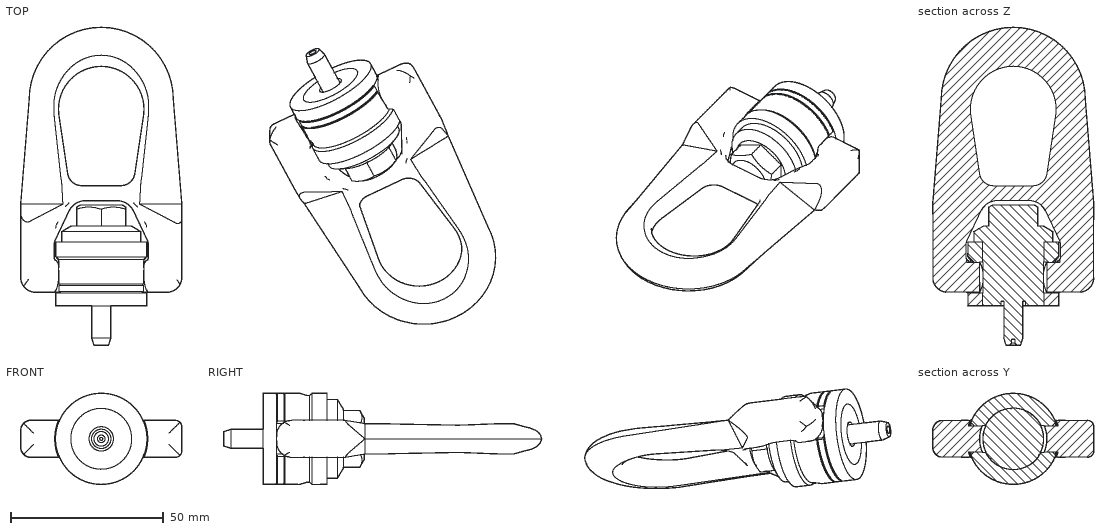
import cadquery as cq
import math


tip_y = -13.0
tip_chamfer_start_y = -10.6
pin_diameter = 6.35
tip_diameter = 4.8
centre_hole_diameter = 1.0
centre_hole_depth = 2.0
countersink_diameter = 2.5
relief_diameter = 8.0
relief_depth = 1.5
shank_diameter = 20.0
collar_diameter = 26.0
collar_cone_y = 24.4
collar_top_y = 26.3
collar_top_diameter = 19.6
hex_across_flats = 16.2
hex_top_y = 33.2
hex_top_diameter = 13.6
hex_chamfer_angle = math.radians(30)

body_diameter = 30.0
flange_thickness = 4.3
housing_top_y = 21.0
seam_width = 0.35
seam_depth = 0.4
upper_seam_y = 6.75
v_groove_start_y = 12.0
v_groove_root_y = 14.3
v_groove_root_end_y = 15.2
v_groove_end_y = 16.1
v_groove_depth = 0.7

trunnion_diameter = 10.0
trunnion_y = 9.4
trunnion_bore_diameter = 22.0
mouth_start_x = 13.0
mouth_angle = 45.0

block_half_width = 26.5
block_half_thickness = 6.1
plate_allowance = 0.05
plate_blend_radius = 12.0
hole_half_depth = block_half_thickness + 1.0
block_corner_radius = 5.0
block_side_radius = 2.2
block_bottom_y = trunnion_y - block_corner_radius
block_slope_y = 26.7
block_top_y = 33.4
body_clearance = 0.3
facet_inner_x = 12.6
facet_low_y = 28.9
facet_low_z = 3.85

link_top_y = 91.5
bow_outer_radius = 23.7
bow_half_thickness = 5.0
bow_slope_width = 9.2
bow_nose_depth = 1.3
bow_nose_half_thickness = 2.3
bow_flank_depth = 3.6
bow_flank_half_thickness = 3.5
bow_centre_y = link_top_y - bow_outer_radius

opening_radius = 14.0
opening_top_y = 78.6
opening_bottom_y = 39.5
opening_bottom_half_width = 10.4
opening_corner_radius = 4.6
opening_edge_radius = 3.4

window_half_width = 15.4
window_bottom_y = 14.75
window_shoulder_y = 20.9
window_top_y = 34.5
window_top_half_width = 8.96
window_bottom_radius = 1.1
window_shoulder_radius = 3.5
window_top_radius = 6.0
window_edge_radius = 2.1


def turned(points):
    """Solid of revolution about Y from an (radius, y) outline."""
    return cq.Workplane("XY").polyline(points).close().revolve(360, (0, 0, 0), (0, 1, 0))


def rod(diameter, start_y, end_y):
    """Cylinder along Y."""
    radius = diameter / 2
    return turned([(0, start_y), (radius, start_y), (radius, end_y), (0, end_y)])


def make_hex_head():
    corner_radius = hex_across_flats / math.sqrt(3)
    hexagon = [
        (corner_radius * math.sin(i * math.pi / 3), corner_radius * math.cos(i * math.pi / 3))
        for i in range(6)
    ]
    head = (
        cq.Workplane("XZ", origin=(0, collar_cone_y, 0))
        .polyline(hexagon)
        .close()
        .extrude(collar_cone_y - hex_top_y)
    )
    top_radius = hex_top_diameter / 2
    chamfer_drop = (corner_radius - top_radius) * math.tan(hex_chamfer_angle)
    chamfer_envelope = turned([
        (0, collar_cone_y),
        (corner_radius, collar_cone_y),
        (corner_radius, hex_top_y - chamfer_drop),
        (top_radius, hex_top_y),
        (0, hex_top_y),
    ])
    return head.intersect(chamfer_envelope)


def make_bolt():
    pin_radius = pin_diameter / 2
    shank_radius = shank_diameter / 2
    collar_radius = collar_diameter / 2
    countersink_radius = countersink_diameter / 2
    centre_hole_radius = centre_hole_diameter / 2
    body = turned([
        (0, tip_y + centre_hole_depth),
        (centre_hole_radius, tip_y + centre_hole_depth),
        (centre_hole_radius, tip_y + countersink_radius - centre_hole_radius),
        (countersink_radius, tip_y),
        (tip_diameter / 2, tip_y),
        (pin_radius, tip_chamfer_start_y),
        (pin_radius, relief_depth),
        (relief_diameter / 2, relief_depth),
        (relief_diameter / 2, 0),
        (shank_radius, 0),
        (shank_radius, housing_top_y),
        (collar_radius, housing_top_y),
        (collar_radius, collar_cone_y),
        (collar_top_diameter / 2, collar_top_y),
        (0, collar_top_y),
    ])
    return body.union(make_hex_head())


def make_flange():
    blank = rod(body_diameter, 0, flange_thickness)
    return blank.cut(rod(shank_diameter, 0, flange_thickness))


def make_trunnion_slot():
    """U-slot along X, open towards the flange, with chamfered mouths at both ends."""
    def u_outline(start_x):
        radius = trunnion_diameter / 2
        return (
            cq.Workplane("YZ", origin=(start_x, 0, 0))
            .moveTo(0, -radius)
            .lineTo(trunnion_y, -radius)
            .threePointArc((trunnion_y + radius, 0), (trunnion_y, radius))
            .lineTo(0, radius)
            .close()
        )

    body_radius = body_diameter / 2
    slot = u_outline(-body_radius).extrude(body_diameter)
    mouth = u_outline(mouth_start_x).extrude(body_radius - mouth_start_x, taper=-mouth_angle)
    return slot.union(mouth).union(mouth.mirror("YZ"))


def make_housing():
    radius = body_diameter / 2
    seam_radius = radius - seam_depth
    root_radius = radius - v_groove_depth
    blank = turned([
        (0, flange_thickness),
        (seam_radius, flange_thickness),
        (seam_radius, flange_thickness + seam_width),
        (radius, flange_thickness + seam_width),
        (radius, upper_seam_y),
        (seam_radius, upper_seam_y),
        (seam_radius, upper_seam_y + seam_width),
        (radius, upper_seam_y + seam_width),
        (radius, v_groove_start_y),
        (root_radius, v_groove_root_y),
        (root_radius, v_groove_root_end_y),
        (radius, v_groove_end_y),
        (radius, housing_top_y),
        (0, housing_top_y),
    ])
    bore = rod(shank_diameter, flange_thickness, housing_top_y)
    return blank.cut(bore).cut(make_trunnion_slot())


def bow_section(y, rim):
    """Half of the bow's cross-section in the plane at y; rim runs from the crest to the edge at z = 0."""
    lower_rim = [(x, -z) for x, z in reversed(rim)]
    return (
        cq.Workplane("XZ", origin=(0, y, 0))
        .moveTo(0, bow_half_thickness)
        .lineTo(*rim[0])
        .spline(rim[1:], includeCurrent=True)
        .spline(lower_rim[1:], includeCurrent=True)
        .lineTo(0, -bow_half_thickness)
        .close()
    )


def make_bow():
    """Bow without its opening: a revolved half disc on top of two arms lofted down to the block."""
    round_rim = [
        (bow_outer_radius - bow_slope_width, bow_half_thickness),
        (bow_outer_radius - bow_flank_depth, bow_flank_half_thickness),
        (bow_outer_radius - bow_nose_depth, bow_nose_half_thickness),
        (bow_outer_radius, 0),
    ]
    spans = len(round_rim) - 1
    facet_width = block_half_width - facet_inner_x
    straight_rim = [
        (facet_inner_x + step / spans * facet_width, bow_half_thickness * (1 - step / spans))
        for step in range(spans + 1)
    ]
    half_disc = bow_section(bow_centre_y, round_rim).revolve(180, (0, 0, 0), (0, 1, 0))
    lower_wire = bow_section(block_top_y, straight_rim).val()
    upper_wire = bow_section(bow_centre_y, round_rim).val()
    arm = cq.Workplane(cq.Solid.makeLoft([lower_wire, upper_wire], True))
    return half_disc.union(arm).union(arm.mirror("YZ"))


def make_block():
    """Common part of the block's outlines seen along Z, X and Y."""
    height = block_top_y - block_bottom_y
    plan = (
        cq.Workplane("XY")
        .center(0, block_bottom_y + height / 2)
        .rect(2 * block_half_width, height)
        .extrude(block_half_thickness, both=True)
        .edges("|Z and <Y")
        .fillet(block_corner_radius)
    )
    half_side = [
        (block_bottom_y, block_half_thickness),
        (block_slope_y, block_half_thickness),
        (block_top_y, bow_half_thickness),
    ]
    side = (
        extruded_along_x(half_side)
        .edges("|X and <Y")
        .fillet(block_corner_radius)
    )
    end = (
        cq.Workplane("XZ")
        .rect(2 * block_half_width, 2 * block_half_thickness)
        .extrude(-block_top_y)
        .edges("|Y")
        .fillet(block_side_radius)
    )
    return plan.intersect(side).intersect(end)


def extruded_along_x(upper_half):
    """Bar as wide as the block from the upper half of a (y, z) outline mirrored about z = 0."""
    lower_half = [(y, -z) for y, z in reversed(upper_half)]
    return (
        cq.Workplane("YZ", origin=(-block_half_width, 0, 0))
        .polyline(upper_half + lower_half)
        .close()
        .extrude(2 * block_half_width)
    )


def make_corner_facets():
    """Wedges above the planes that slope from each arm's ridge down to the side of the block."""
    ridge = cq.Vector(facet_inner_x, block_top_y, bow_half_thickness)
    edge = cq.Vector(block_half_width, block_top_y, 0)
    low = cq.Vector(block_half_width, facet_low_y, facet_low_z)
    normal = (ridge - edge).cross(low - edge)
    facet = (
        cq.Workplane(cq.Plane(edge, low - edge, normal))
        .rect(link_top_y, link_top_y)
        .extrude(block_half_width)
    )
    right_pair = facet.union(facet.mirror("XY"))
    return right_pair.union(right_pair.mirror("YZ"))


def band_selector(start_y, end_y):
    """Picks what lies between two Y positions, across the whole link."""
    margin = 0.1
    return cq.selectors.BoxSelector(
        (-block_half_width, start_y - margin, -hole_half_depth),
        (block_half_width, end_y + margin, hole_half_depth),
    )


def make_opening():
    """Pear-shaped opening of the bow: an arc with two tangent-like sides and a flat bottom."""
    centre_y = opening_top_y - opening_radius
    slope = math.atan2(opening_radius - opening_bottom_half_width, centre_y - opening_bottom_y)
    side_x = opening_radius * math.cos(slope)
    side_y = centre_y - opening_radius * math.sin(slope)
    return (
        cq.Workplane("XY")
        .moveTo(-opening_bottom_half_width, opening_bottom_y)
        .lineTo(opening_bottom_half_width, opening_bottom_y)
        .lineTo(side_x, side_y)
        .threePointArc((0, opening_top_y), (-side_x, side_y))
        .close()
        .extrude(hole_half_depth, both=True)
        .edges("|Z and <Y")
        .fillet(opening_corner_radius)
    )


def make_window():
    """House-shaped window around the collar and the bolt head."""
    right_side = [
        (window_half_width, window_bottom_y),
        (window_half_width, window_shoulder_y),
        (window_top_half_width, window_top_y),
    ]
    left_side = [(-x, y) for x, y in reversed(right_side)]
    window = (
        cq.Workplane("XY")
        .polyline(right_side + left_side)
        .close()
        .extrude(hole_half_depth, both=True)
    )
    corners = [
        (window_bottom_y, window_bottom_radius),
        (window_shoulder_y, window_shoulder_radius),
        (window_top_y, window_top_radius),
    ]
    for y, radius in corners:
        window = window.edges("|Z").edges(band_selector(y, y)).fillet(radius)
    return window


def make_plate():
    """Blank in which the holes are shaped: it stands slightly proud of the link, its bends blended."""
    plate = extruded_along_x([
        (block_bottom_y, block_half_thickness + plate_allowance),
        (block_slope_y, block_half_thickness + plate_allowance),
        (block_top_y, bow_half_thickness + plate_allowance),
        (link_top_y, bow_half_thickness + plate_allowance),
    ])
    bends = band_selector(block_slope_y, block_top_y)
    return plate.edges("|X").edges(bends).fillet(plate_blend_radius)


def with_flared_rims(hole, radius):
    """The hole's negative, widened at both faces so that it leaves edges rounded to the radius."""
    plate = make_plate()
    pierced = plate.cut(hole)
    box = hole.val().BoundingBox()
    rims = [
        edge
        for edge in pierced.edges(band_selector(box.ymin, box.ymax)).vals()
        if abs(edge.Center().z) > bow_half_thickness and edge.BoundingBox().xmax < block_half_width - 1
    ]
    rounded = pierced.newObject(rims).fillet(radius)
    return plate.cut(rounded)


def make_trunnions():
    """Pair of cylinders along X with their inner ends hollowed to clear the bolt shank."""
    length = 2 * window_half_width
    cylinder = (
        cq.Workplane("YZ", origin=(-length / 2, 0, 0))
        .center(trunnion_y, 0)
        .circle(trunnion_diameter / 2)
        .extrude(length)
    )
    return cylinder.cut(rod(trunnion_bore_diameter, 0, housing_top_y))


def make_link():
    blank = make_block().cut(make_corner_facets()).union(make_bow())
    opening = with_flared_rims(make_opening(), opening_edge_radius)
    window = with_flared_rims(make_window(), window_edge_radius)
    housing_bore = rod(body_diameter + 2 * body_clearance, 0, window_bottom_y + window_edge_radius)
    return blank.cut(opening).cut(window).cut(housing_bore).union(make_trunnions())


bolt = make_bolt()
flange = make_flange()
housing = make_housing()
link = make_link()
result = cq.Compound.makeCompound([link.val(), housing.val(), flange.val(), bolt.val()])